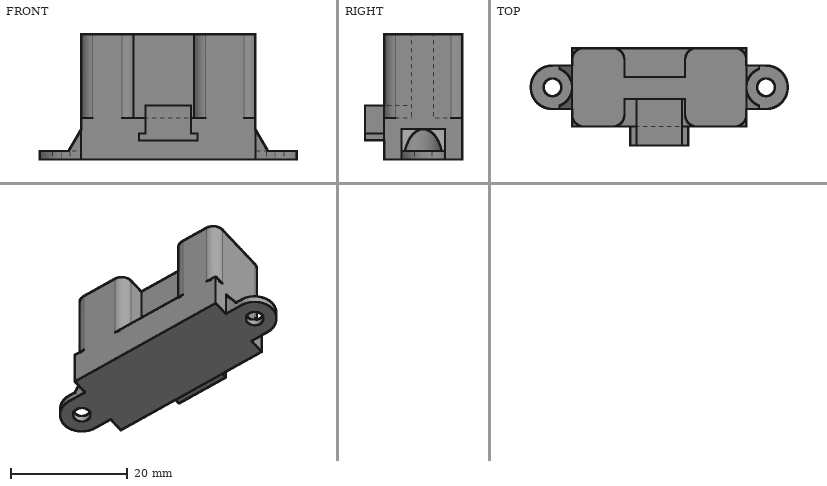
import cadquery as cq

total_length = 44.3
total_depth = 16.8
total_height = 21.6

base_length = 30.0
base_depth = 13.5
base_height = 7.18

left_housing_length = 9.0
right_housing_length = 10.55
housing_corner_radius = 2.0
web_thickness = 3.75
web_back_setback = 5.0

ear_radius = 3.75
ear_thickness = 1.5
ear_hole_diameter = 3.0
gusset_length = 2.15
gusset_top = 5.23

connector_width = 7.9
connector_top = 9.35
flange_width = 10.0
flange_bottom = 3.32
flange_top = 4.5

base_right = base_length / 2
base_back = base_depth / 2
base_front = -base_back
housing_height = total_height - base_height
web_back = base_back - web_back_setback
web_front = web_back - web_thickness
connector_front = base_back - total_depth
ear_center_x = total_length / 2 - ear_radius
screw_head_radius = ear_center_x - base_right


def box_between(x_min, x_max, y_min, y_max, z_min, z_max):
    """Axis-aligned block given by its limits."""
    return cq.Workplane("XY").box(
        x_max - x_min, y_max - y_min, z_max - z_min, centered=False
    ).translate((x_min, y_min, z_min))


def make_housing(length, center_x):
    """Upright lens housing with rounded vertical edges."""
    return (
        cq.Workplane("XY", origin=(center_x, 0, base_height))
        .rect(length, base_depth)
        .extrude(housing_height)
        .edges("|Z")
        .fillet(housing_corner_radius)
    )


def make_right_ear():
    """Round-ended ear with a sloped gusset, screw-head clearance and a through hole."""
    plate = box_between(base_right, ear_center_x, -ear_radius, ear_radius, 0, ear_thickness)
    round_end = (
        cq.Workplane("XY", origin=(ear_center_x, 0, 0))
        .circle(ear_radius)
        .extrude(ear_thickness)
    )
    gusset = (
        cq.Workplane("XZ")
        .moveTo(base_right, ear_thickness)
        .lineTo(base_right + gusset_length, ear_thickness)
        .lineTo(base_right, gusset_top)
        .close()
        .extrude(ear_radius, both=True)
    )
    clearance = (
        cq.Workplane("XY", origin=(ear_center_x, 0, ear_thickness))
        .circle(screw_head_radius)
        .extrude(gusset_top)
    )
    hole = (
        cq.Workplane("XY", origin=(ear_center_x, 0, 0))
        .circle(ear_hole_diameter / 2)
        .extrude(ear_thickness)
    )
    return plate.union(round_end).union(gusset.cut(clearance)).cut(hole)


def make_connector():
    """Connector body from the web to the front, with its foot flange ahead of the base."""
    body = box_between(
        -connector_width / 2, connector_width / 2,
        connector_front, web_front,
        flange_bottom, connector_top,
    )
    flange = box_between(
        -flange_width / 2, flange_width / 2,
        connector_front, base_front,
        flange_bottom, flange_top,
    )
    return body.union(flange)


base = box_between(-base_right, base_right, base_front, base_back, 0, base_height)
left_housing = make_housing(left_housing_length, -base_right + left_housing_length / 2)
right_housing = make_housing(right_housing_length, base_right - right_housing_length / 2)
web = box_between(
    -base_right + left_housing_length, base_right - right_housing_length,
    web_front, web_back,
    base_height, total_height,
)
right_ear = make_right_ear()
left_ear = right_ear.mirror("YZ")

result = (
    right_ear.union(left_ear)
    .union(base)
    .union(left_housing)
    .union(right_housing)
    .union(web)
    .union(make_connector())
)